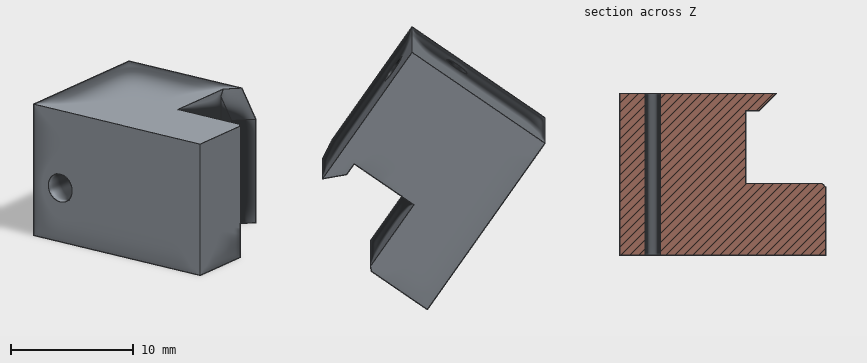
import cadquery as cq
import math

length = 16.82
width = 13.22
height = 11.35

body_length = 10.3
arm_width = 5.87
arm_chamfer = 0.3

lip_reach = 2.5
lip_width = 1.42
lip_tip_x = body_length + lip_reach

slope_run_x = 1.4
slope_drop = 2.4

cross_hole_diameter = 2.4
cross_hole_x = 2.69
cross_hole_z = 4.65

long_hole_diameter = 2.0
long_hole_y = 8.76
long_hole_z = 7.35


def make_body():
    """L-shaped block with a small chamfer on the inner corner of the arm end."""
    outline = [
        (0, 0),
        (length, 0),
        (length, arm_width - arm_chamfer),
        (length - arm_chamfer, arm_width),
        (body_length, arm_width),
        (body_length, width),
        (0, width),
    ]
    return cq.Workplane("XY").polyline(outline).close().extrude(height)


def make_lip():
    """Full-height pointed lip on the inner wall, with its outer face tapered at the top."""
    lip_front_y = width - lip_width
    outline = [
        (body_length, lip_front_y),
        (lip_tip_x - lip_width, lip_front_y),
        (lip_tip_x, width),
        (body_length, width),
    ]
    return cq.Workplane("XY").polyline(outline).close().extrude(height).cut(make_lip_slope())


def make_lip_slope():
    """Wedge running along the 45 degree lip face that tapers the lip towards the top."""
    section_plane = cq.Plane(
        origin=(lip_tip_x, width, height),
        xDir=(-1, 1, 0),
        normal=(1, 1, 0),
    )
    slope_depth = slope_run_x * math.sin(math.radians(45))
    section = [(0, 0), (0, -slope_drop), (slope_depth, 0)]
    cut_length = 2 * lip_reach
    return cq.Workplane(section_plane).polyline(section).close().extrude(cut_length, both=True)


def make_cross_hole():
    """Round cutter along Y, through the full width."""
    profile = cq.Workplane("XZ").center(cross_hole_x, cross_hole_z)
    return profile.circle(cross_hole_diameter / 2).extrude(-width)


def make_long_hole():
    """Round cutter along X, through to the inner wall."""
    profile = cq.Workplane("YZ").center(long_hole_y, long_hole_z)
    return profile.circle(long_hole_diameter / 2).extrude(length)


result = make_body().union(make_lip()).cut(make_cross_hole()).cut(make_long_hole())